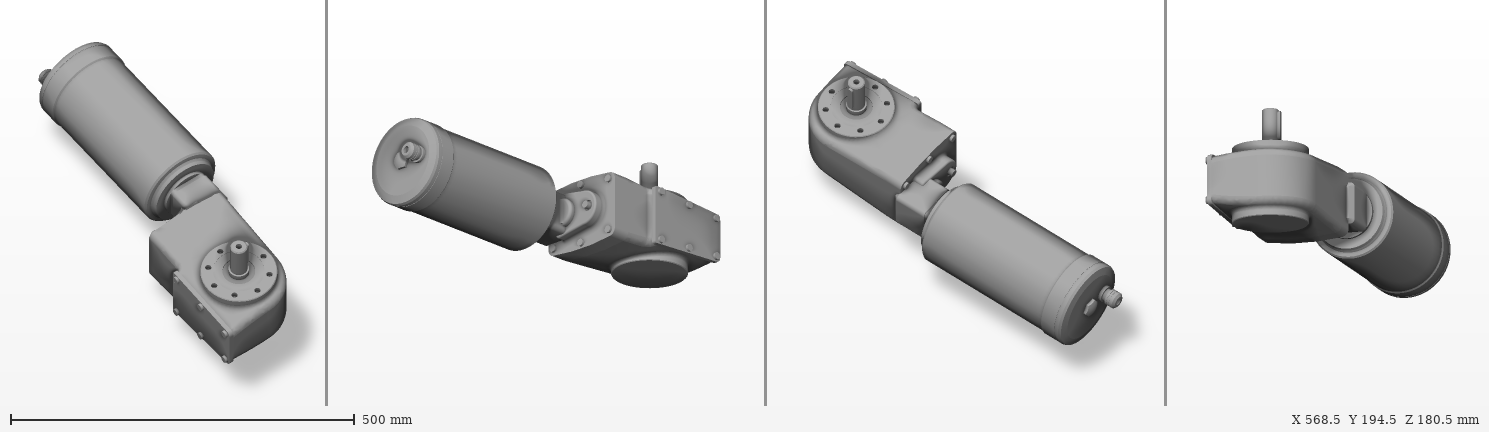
import cadquery as cq
import math


touch = 0.5

motor_face_x = 28.0
motor_cap_end_x = 65.5
motor_end_x = 288.0
motor_cap_radius = 133.0 / 2
motor_radius = 129.0 / 2
cap_face_radius = 53.0
cap_cone_length = 3.0
cap_cone_drop = 1.5
cap_rounding_length = 7.0
cap_step_length = 2.0
cap_groove_x = 40.0
cap_groove_width = 2.0
cap_groove_depth = 0.5
motor_end_bevel_length = 3.0
motor_end_bevel_depth = 2.0
motor_end_step_length = 1.0
end_ring_radius = 56.0
end_ring_knee_length = 3.5
end_ring_knee_drop = 2.0
end_ring_drop = 4.0
end_ring_end_x = 297.0
adapter_x = 302.0
adapter_radius = 38.0

plug_tip_x = 19.5
plug_flats = 25.0
plug_dome_radius = 25.0
connector_y = -33.0
connector_diameter = 25.0
connector_head_length = 16.5
connector_foot_x = 23.0
connector_neck_diameter = 19.5
connector_bore = 10.0
connector_bore_depth = 5.5
connector_bevel = 3.5
connector_groove_spots = (8.0, 12.0)
connector_groove_width = 1.0
connector_groove_depth = 0.5

neck_size = 61.5
neck_collar_size = 59.0
neck_collar_length = 6.0
neck_corner_radius = 7.0
neck_overlap = 7.5
neck_end_bevel = 7.0

disc_x = 331.0
disc_y = -27.0
disc_radius = 22.0
disc_edge_radius = 4.5
disc_cove_radius = 4.0
disc_cove_half_length = 19.0

shaft_x = 495.0
shaft_y = -52.0
housing_x = 358.0
housing_taper_x = 386.0
housing_end_x = 568.5
housing_back_y = 21.0
housing_front_y = -112.0
housing_mid_y = (housing_back_y + housing_front_y) / 2
housing_round_radius = 69.5
housing_half_height = 54.0
housing_end_half_height = 41.0
crown = 5.5
crown_overhang = 23.0
housing_edge_radius = 11.5
step_radius = 5.5

base_x = 431.5
base_y = -124.0
base_thickness = 7.0
base_half_height = 45.0
base_end_half_height = 37.0
base_corner_radius = 8.0
base_inner_corner_radius = 3.5

bolt_diameter = 11.0
bolt_height = 4.0
base_bolt_spots = ((442.5, 37.5), (501.0, 33.5), (559.0, 29.5))
housing_bolt_spread = 55.0
housing_corner_bolt_z = 40.0
housing_middle_bolt_z = 45.5

flange_diameter = 112.0
flange_half_height = 56.0
flange_bevel = 1.0
flange_foot_radius = 5.0
flange_hole_diameter = 9.0
flange_hole_depth = 8.5
flange_hole_circle = 90.0
flange_hole_count = 8
flange_recess_diameter = 75.0
flange_recess_depth = 0.5
seal_bore = 48.0
seal_bore_depth = 2.0
collar_diameter = 30.0
collar_top_z = 62.5
shaft_diameter = 25.0
shaft_top_z = 114.0
shaft_bevel = 1.5
shaft_center_hole = 9.0
shaft_center_depth = 11.5
key_width = 8.0
key_bottom_z = 68.0
key_top_z = 111.0
key_height = 3.5
key_end_radius = 3.5

cover_x = 340.5
cover_back_y = -9.0
cover_back_half = 35.0
cover_arc_y = -63.0
cover_arc_radius = 27.0
cover_corner_radius = 5.5
cover_edge_radius = 3.0
cover_foot_radius = 4.0
cover_root_thickness = 3.0
cover_root_half_y = 59.5
cover_root_half_z = 42.5
cover_bolt_y = -75.0
cover_bolt_recess = 16.5
cover_bolt_recess_depth = 1.5
cover_bolt_height = 7.0


def cylinder_x(x_start, x_end, radius, y=0.0, z=0.0):
    """Cylinder parallel to X."""
    plane = cq.Workplane("YZ", origin=(x_start, y, z))
    return plane.circle(radius).extrude(x_end - x_start)


def cylinder_z(z_start, z_end, diameter):
    """Cylinder on the output shaft axis."""
    plane = cq.Workplane("XY", origin=(shaft_x, shaft_y, z_start))
    return plane.circle(diameter / 2).extrude(z_end - z_start)


def ring_groove(x, width, radius, depth):
    """Ring to cut from a cylinder on the X axis."""
    inner = radius - depth
    return cylinder_x(x, x + width, radius + 5.5).cut(cylinder_x(x, x + width, inner))


def make_motor():
    bevel_end_x = motor_end_x - motor_end_step_length
    profile = [
        (motor_face_x, 0),
        (motor_face_x, cap_face_radius),
        (motor_face_x + cap_cone_length, motor_cap_radius - cap_cone_drop),
        (motor_face_x + cap_rounding_length, motor_cap_radius),
        (motor_cap_end_x, motor_cap_radius),
        (motor_cap_end_x + cap_step_length, motor_radius),
        (bevel_end_x - motor_end_bevel_length, motor_radius),
        (bevel_end_x, motor_radius - motor_end_bevel_depth),
        (motor_end_x, end_ring_radius),
        (motor_end_x + end_ring_knee_length, end_ring_radius - end_ring_knee_drop),
        (end_ring_end_x, end_ring_radius - end_ring_drop),
        (end_ring_end_x, adapter_radius),
        (adapter_x, adapter_radius),
        (adapter_x, 0),
    ]
    motor = cq.Workplane("XY").polyline(profile).close().revolve(360, (0, 0, 0), (1, 0, 0))
    groove = ring_groove(cap_groove_x, cap_groove_width, motor_cap_radius, cap_groove_depth)
    return motor.cut(groove)


def make_plug():
    corner_diameter = plug_flats / math.cos(math.pi / 6)
    hexagon = (
        cq.Workplane("YZ", origin=(plug_tip_x, 0, 0))
        .polygon(6, corner_diameter)
        .extrude(motor_face_x - plug_tip_x)
    )
    dome = cq.Workplane("XY").sphere(plug_dome_radius)
    return hexagon.intersect(dome.translate((plug_tip_x + plug_dome_radius, 0, 0)))


def make_connector():
    head_radius = connector_diameter / 2
    connector = cylinder_x(0, connector_head_length, head_radius)
    connector = connector.faces("<X").chamfer(connector_bevel)
    for x in connector_groove_spots:
        connector = connector.cut(
            ring_groove(x, connector_groove_width, head_radius, connector_groove_depth)
        )
    connector = connector.union(cylinder_x(connector_bore_depth, motor_face_x, connector_neck_diameter / 2))
    connector = connector.union(cylinder_x(connector_foot_x, motor_face_x, head_radius))
    connector = connector.cut(cylinder_x(0, connector_bore_depth, connector_bore / 2))
    return connector.translate((0, connector_y, 0))


def rounded_square_bar(x_start, x_end, size):
    """Square bar on the X axis with rounded long edges."""
    bar = cq.Workplane("YZ", origin=(x_start, 0, 0)).rect(size, size).extrude(x_end - x_start)
    return bar.edges("|X").fillet(neck_corner_radius)


def make_disc_cove():
    """Concave strip that blends the front of the disc into the underside of the neck."""
    root = cq.Workplane("XY", origin=(disc_x, -neck_size / 2, -disc_cove_half_length))
    length = 2 * disc_cove_half_length
    block = root.rect(2 * disc_cove_radius, 2 * disc_cove_radius).extrude(length)
    hollow = root.center(-disc_cove_radius, -disc_cove_radius).circle(disc_cove_radius)
    return block.cut(hollow.extrude(length))


def make_neck():
    neck_x = adapter_x + neck_collar_length
    neck = rounded_square_bar(neck_x, housing_x + neck_overlap, neck_size)
    neck = neck.edges(">X and >Y").chamfer(neck_end_bevel)
    disc = cylinder_x(disc_x, housing_x, disc_radius, disc_y)
    neck = neck.union(disc.faces("<X").edges().fillet(disc_edge_radius))
    neck = neck.union(make_disc_cove())
    return neck.union(rounded_square_bar(adapter_x, neck_x, neck_collar_size))


def crowned_section(plane, half_height):
    """Housing cross-section with a crowned top and bottom, wider than the housing."""
    housing_half_width = housing_back_y - housing_mid_y
    half_width = housing_half_width + crown_overhang
    edge = half_height - crown * (half_width / housing_half_width) ** 2
    return (
        plane.moveTo(-half_width, -edge)
        .threePointArc((0, -half_height), (half_width, -edge))
        .lineTo(half_width, edge)
        .threePointArc((0, half_height), (-half_width, edge))
        .close()
    )


def make_crowned_block():
    """Straight crowned block followed by one that tapers towards the far end."""
    start = cq.Workplane("YZ", origin=(housing_x, housing_mid_y, 0))
    block = crowned_section(start, housing_half_height).extrude(housing_taper_x - housing_x)
    taper = cq.Workplane("YZ", origin=(housing_taper_x, housing_mid_y, 0))
    taper = crowned_section(taper, housing_half_height)
    taper = taper.workplane(offset=housing_end_x - housing_taper_x)
    taper = crowned_section(taper, housing_end_half_height).loft(ruled=True)
    return block.union(taper)


def is_rim_edge(edge):
    """True for the upper and lower rim edges that follow the housing outline."""
    box = edge.BoundingBox()
    across = box.xlen < touch
    upright = box.zlen > base_half_height
    on_base = box.ymax < base_y + touch
    return not (across or upright or on_base)


def make_housing():
    diagonal = housing_round_radius * math.sqrt(0.5)
    outline = (
        cq.Workplane("XY", origin=(0, 0, -housing_half_height - 5.5))
        .moveTo(housing_x, housing_back_y)
        .lineTo(shaft_x, shaft_y + housing_round_radius)
        .threePointArc(
            (shaft_x + diagonal, shaft_y + diagonal),
            (shaft_x + housing_round_radius, shaft_y),
        )
        .lineTo(housing_end_x, base_y)
        .lineTo(base_x, base_y)
        .lineTo(base_x, housing_front_y)
        .lineTo(housing_x, housing_front_y)
        .close()
    )
    housing = outline.extrude(2 * (housing_half_height + 5.5))
    inner_corner = cq.selectors.NearestToPointSelector((base_x, housing_front_y, 0))
    housing = housing.edges(inner_corner).fillet(step_radius)
    housing = housing.intersect(make_crowned_block())
    rim = [edge for edge in housing.edges().vals() if is_rim_edge(edge)]
    return cq.Workplane(housing.val().fillet(housing_edge_radius, rim))


def make_base():
    plane = cq.Workplane("XZ", origin=(0, base_y + base_thickness, 0))
    base = (
        plane.moveTo(base_x, -base_half_height)
        .lineTo(housing_end_x, -base_end_half_height)
        .lineTo(housing_end_x, base_end_half_height)
        .lineTo(base_x, base_half_height)
        .close()
        .extrude(base_thickness)
    )
    base = base.edges("|Y and >X").fillet(base_corner_radius)
    base = base.edges("|Y and <X").fillet(base_inner_corner_radius)
    spots = []
    for x, z in base_bolt_spots:
        spots += [(x, z), (x, -z)]
    heads = cq.Workplane("XZ", origin=(0, base_y, 0)).pushPoints(spots)
    return base.union(heads.circle(bolt_diameter / 2).extrude(bolt_height))


def make_housing_bolts():
    spots = []
    for z in (housing_corner_bolt_z, -housing_corner_bolt_z):
        spots += [(-housing_bolt_spread, z), (housing_bolt_spread, z)]
    spots += [(0, housing_middle_bolt_z), (0, -housing_middle_bolt_z)]
    plane = cq.Workplane("YZ", origin=(housing_x - bolt_height, housing_mid_y, 0))
    return plane.pushPoints(spots).circle(bolt_diameter / 2).extrude(bolt_height)


def is_flange_joint(edge):
    """True for the edges where a flange wall meets the crowned housing."""
    points = [edge.positionAt(fraction) for fraction in (0.1, 0.4, 0.7)]
    distances = [math.hypot(point.x - shaft_x, point.y - shaft_y) for point in points]
    on_wall = all(abs(distance - flange_diameter / 2) < touch for distance in distances)
    below_rim = all(abs(point.z) < flange_half_height - flange_bevel - touch for point in points)
    return on_wall and below_rim and edge.BoundingBox().xlen > touch


def add_flanges(housing):
    """Add the upper and lower flange with a fillet around each foot."""
    flange = cylinder_z(-flange_half_height, flange_half_height, flange_diameter)
    body = housing.union(flange.faces("<Z or >Z").chamfer(flange_bevel))
    joints = [edge for edge in body.edges().vals() if is_flange_joint(edge)]
    return cq.Workplane(body.val().fillet(flange_foot_radius, joints))


def cut_flange_details(body):
    """Cut the shallow recess, the seal bore and the ring of holes from the upper flange."""
    top = flange_half_height
    body = body.cut(cylinder_z(top - flange_recess_depth, top, flange_recess_diameter))
    body = body.cut(cylinder_z(top - seal_bore_depth, top, seal_bore))
    holes = (
        cq.Workplane("XY", origin=(shaft_x, shaft_y, top - flange_hole_depth))
        .polarArray(flange_hole_circle / 2, 0, 360, flange_hole_count)
        .circle(flange_hole_diameter / 2)
        .extrude(flange_hole_depth)
    )
    return body.cut(holes)


def make_shaft():
    shaft = cylinder_z(0, shaft_top_z, shaft_diameter).faces(">Z").chamfer(shaft_bevel)
    shaft = shaft.union(cylinder_z(0, collar_top_z, collar_diameter))
    key_depth = shaft_diameter / 2 + key_height
    key = cq.Workplane("XY").box(
        key_width, key_depth, key_top_z - key_bottom_z, centered=(True, False, False)
    )
    key = key.edges("|Y").fillet(key_end_radius)
    shaft = shaft.union(key.translate((shaft_x, shaft_y, key_bottom_z)))
    return shaft.cut(cylinder_z(shaft_top_z - shaft_center_depth, shaft_top_z, shaft_center_hole))


def make_cover():
    length = housing_x - cover_x
    cover = (
        cq.Workplane("YZ", origin=(cover_x, 0, 0))
        .moveTo(cover_back_y, -cover_back_half)
        .lineTo(cover_arc_y, -cover_arc_radius)
        .threePointArc((cover_arc_y - cover_arc_radius, 0), (cover_arc_y, cover_arc_radius))
        .lineTo(cover_back_y, cover_back_half)
        .close()
        .extrude(length)
    )
    cover = cover.edges("|X and >Y").fillet(cover_corner_radius)
    cover = cover.faces("<X").edges().fillet(cover_edge_radius)
    root = cq.Workplane("XY").box(
        cover_root_thickness, 2 * cover_root_half_y, 2 * cover_root_half_z, centered=(False, True, True)
    )
    cover = cover.union(root.translate((housing_x, housing_mid_y, 0)))
    foot = cq.selectors.BoxSelector(
        (housing_x - touch, housing_mid_y - cover_root_half_y + touch, -cover_root_half_z + touch),
        (housing_x + touch, housing_mid_y + cover_root_half_y - touch, cover_root_half_z - touch),
    )
    cover = cover.edges(foot).fillet(cover_foot_radius)
    recess_end_x = cover_x + cover_bolt_recess_depth
    cover = cover.cut(cylinder_x(cover_x, recess_end_x, cover_bolt_recess / 2, cover_bolt_y))
    bolt_x = cover_x - cover_bolt_height
    return cover.union(cylinder_x(bolt_x, recess_end_x, bolt_diameter / 2, cover_bolt_y))


gearbox = add_flanges(make_housing()).union(make_base()).union(make_housing_bolts())
gearbox = cut_flange_details(gearbox).union(make_shaft()).union(make_cover())
motor_unit = make_motor().union(make_plug()).union(make_connector()).union(make_neck())
result = motor_unit.union(gearbox)